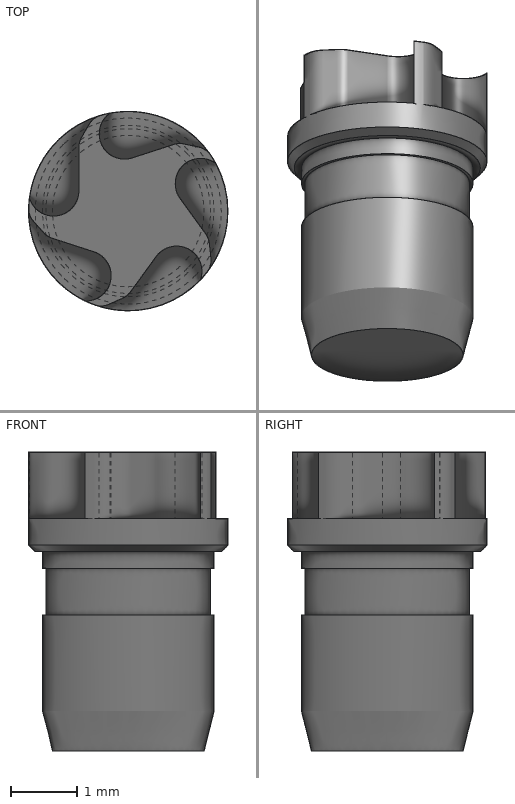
import cadquery as cq
import math

HEAD_DIAMETER = 3.0
SHANK_DIAMETER = 2.58
NECK_DIAMETER = 2.48
TIP_DIAMETER = 2.28
TAPER_TOP = 0.6
NECK_BOTTOM = 2.05
NECK_TOP = 2.75
FLANGE_BOTTOM = 3.0
FLANGE_TOP = 3.5
TOTAL_HEIGHT = 4.5
FLANGE_CHAMFER = 0.1

POCKET_COUNT = 5
WALL_OFFSET = 0.742
POCKET_RADIUS = 0.38
POCKET_CENTRE_Y = 0.305
WALL_END_Y = 0.96
BEND_RADIUS = 0.3
BEND_ANGLE = 30.0
TIP_ROUND_RADIUS = 0.3
RIM_OVERLAP = 0.0002
STAR_RADIUS = HEAD_DIAMETER / 2 + RIM_OVERLAP


def turned_body():
    """Stepped pin with a tapered tip, a shallow neck and a flange with a chamfered lower edge."""
    head = HEAD_DIAMETER / 2
    shank = SHANK_DIAMETER / 2
    neck = NECK_DIAMETER / 2
    profile = [
        (0, 0),
        (TIP_DIAMETER / 2, 0),
        (shank, TAPER_TOP),
        (shank, NECK_BOTTOM),
        (neck, NECK_BOTTOM),
        (neck, NECK_TOP),
        (shank, NECK_TOP),
        (shank, FLANGE_BOTTOM),
        (head - FLANGE_CHAMFER, FLANGE_BOTTOM),
        (head, FLANGE_BOTTOM + FLANGE_CHAMFER),
        (head, FLANGE_TOP),
        (0, FLANGE_TOP),
    ]
    return cq.Workplane("XZ").polyline(profile).close().revolve(360, (0, 0), (0, 1))


def turned(point, angle):
    """Rotate a point about the axis by an angle in degrees."""
    turn = math.radians(angle)
    x = point[0] * math.cos(turn) - point[1] * math.sin(turn)
    y = point[0] * math.sin(turn) + point[1] * math.cos(turn)
    return x, y


def arc_middle(centre, start, end):
    """Middle of the shorter arc from start to end about a centre."""
    radius = math.dist(centre, start)
    toward_x = (start[0] + end[0]) / 2 - centre[0]
    toward_y = (start[1] + end[1]) / 2 - centre[1]
    scale = radius / math.hypot(toward_x, toward_y)
    return centre[0] + toward_x * scale, centre[1] + toward_y * scale


def pocket_rim_point():
    """Point where the round end of the -X pocket meets the rim."""
    centre_x = -(WALL_OFFSET + POCKET_RADIUS)
    centre_distance = math.hypot(centre_x, POCKET_CENTRE_Y)
    centre_angle = math.atan2(POCKET_CENTRE_Y, centre_x)
    cosine = (STAR_RADIUS**2 + centre_distance**2 - POCKET_RADIUS**2) / (2 * STAR_RADIUS * centre_distance)
    rim_angle = centre_angle + math.acos(cosine)
    return STAR_RADIUS * math.cos(rim_angle), STAR_RADIUS * math.sin(rim_angle)


def bend_point(angle):
    """Point on the bend of the pocket wall after turning by the given angle."""
    turn = math.radians(angle)
    x = -WALL_OFFSET + BEND_RADIUS * (1 - math.cos(turn))
    y = WALL_END_Y + BEND_RADIUS * math.sin(turn)
    return x, y


def tip_round():
    """Start, middle and end of the arc that joins the flare smoothly to the rim."""
    centre_distance = STAR_RADIUS - TIP_ROUND_RADIUS
    bend_end = bend_point(BEND_ANGLE)
    along = (math.sin(math.radians(BEND_ANGLE)), math.cos(math.radians(BEND_ANGLE)))
    inward = (along[1], -along[0])

    base_x = bend_end[0] + TIP_ROUND_RADIUS * inward[0]
    base_y = bend_end[1] + TIP_ROUND_RADIUS * inward[1]
    base_along = base_x * along[0] + base_y * along[1]
    base_across = base_x * inward[0] + base_y * inward[1]
    flare_length = math.sqrt(centre_distance**2 - base_across**2) - base_along

    centre = (base_x + flare_length * along[0], base_y + flare_length * along[1])
    start = (bend_end[0] + flare_length * along[0], bend_end[1] + flare_length * along[1])
    end = (centre[0] * STAR_RADIUS / centre_distance, centre[1] * STAR_RADIUS / centre_distance)
    return start, arc_middle(centre, start, end), end


def star_drive():
    """Star with one curved pocket and one fin tip per step, traced clockwise."""
    step = 360 / POCKET_COUNT
    rim_start = pocket_rim_point()
    pocket_bottom = (-(WALL_OFFSET + POCKET_RADIUS), POCKET_CENTRE_Y - POCKET_RADIUS)
    wall_start = (-WALL_OFFSET, POCKET_CENTRE_Y)
    wall_end = bend_point(0)
    bend_middle = bend_point(BEND_ANGLE / 2)
    bend_end = bend_point(BEND_ANGLE)
    tip_start, tip_middle, tip_end = tip_round()
    next_rim_start = turned(rim_start, -step)
    rim_middle = arc_middle((0, 0), tip_end, next_rim_start)

    outline = cq.Workplane("XY").workplane(offset=FLANGE_TOP).moveTo(*rim_start)
    for index in range(POCKET_COUNT):
        angle = -index * step
        outline = (
            outline
            .threePointArc(turned(pocket_bottom, angle), turned(wall_start, angle))
            .lineTo(*turned(wall_end, angle))
            .threePointArc(turned(bend_middle, angle), turned(bend_end, angle))
            .lineTo(*turned(tip_start, angle))
            .threePointArc(turned(tip_middle, angle), turned(tip_end, angle))
            .threePointArc(turned(rim_middle, angle), turned(next_rim_start, angle))
        )
    star = outline.close().extrude(TOTAL_HEIGHT - FLANGE_TOP)
    rim = (
        cq.Workplane("XY")
        .workplane(offset=FLANGE_TOP)
        .circle(HEAD_DIAMETER / 2)
        .extrude(TOTAL_HEIGHT - FLANGE_TOP)
    )
    return star.intersect(rim)


result = turned_body().union(star_drive(), clean=False)